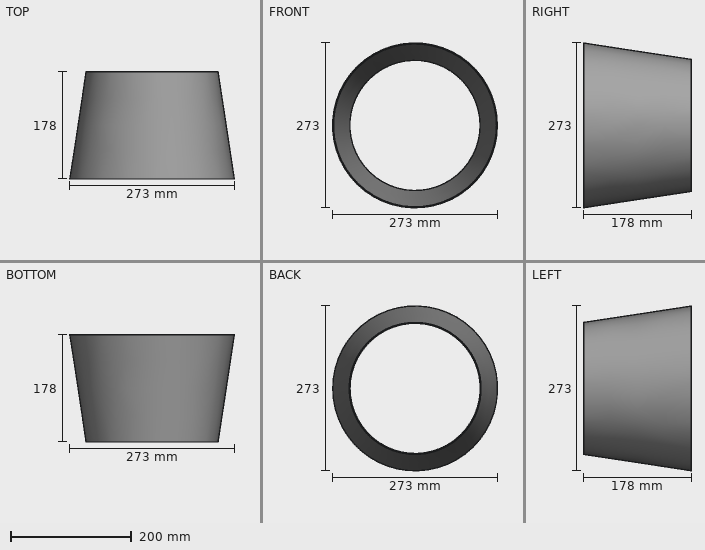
import cadquery as cq

large_diameter = 273.0
small_diameter = 219.0
length = 178.0
wall = 2.0

large_radius = large_diameter / 2
small_radius = small_diameter / 2

wall_section = [
    (large_radius - wall, 0),
    (large_radius, 0),
    (small_radius, length),
    (small_radius - wall, length),
]

result = (
    cq.Workplane("XY")
    .polyline(wall_section)
    .close()
    .revolve(360, (0, 0, 0), (0, 1, 0))
)